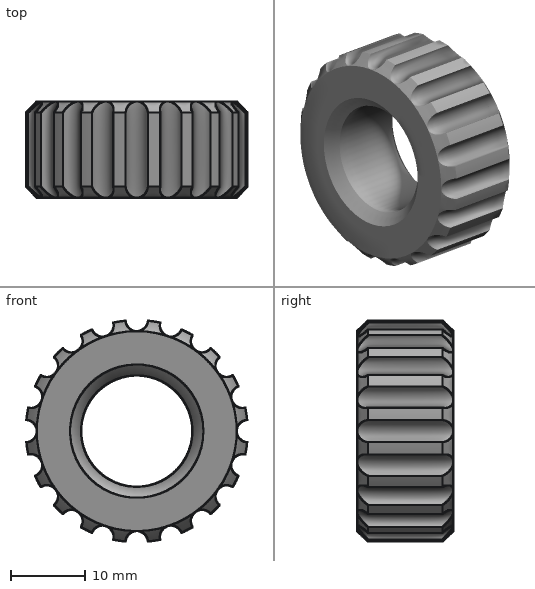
import cadquery as cq

outer_diameter = 30.0
bore_diameter = 15.0
width = 13.0
chamfer_size = 1.5
groove_count = 20
groove_radius = 1.5

outer_radius = outer_diameter / 2


def make_ring():
    """Bored ring, centred on the origin, with all four circular edges chamfered."""
    ring = (
        cq.Workplane("XZ")
        .circle(outer_radius)
        .circle(bore_diameter / 2)
        .extrude(width / 2, both=True)
    )
    return ring.edges("%CIRCLE").chamfer(chamfer_size)


def make_groove_cutters():
    """Round bars spaced evenly about the ring, one of them on the X axis."""
    return (
        cq.Workplane("XZ")
        .polarArray(outer_radius, 0, 360, groove_count)
        .circle(groove_radius)
        .extrude(width / 2, both=True)
    )


result = make_ring().cut(make_groove_cutters())